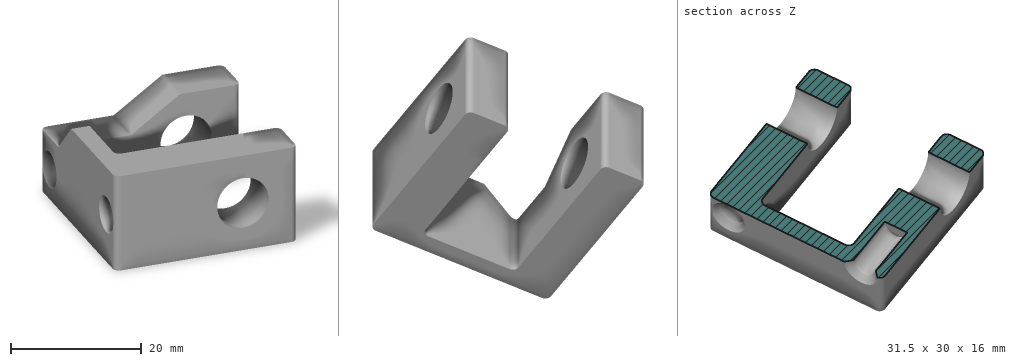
import cadquery as cq

length = 31.5
width = 30.0
height = 16.0

leg_thickness = 7.5
web_thickness = 3.0
corner_radius = 1.0

step_depth = 5.5
step_height = height - step_depth
leg_ramp_start = 12.0
leg_ramp_end = 20.0

bore_diameter = 8.4
bore_y = 21.0
bore_z = height / 2

screw_diameter = 4.0
countersink_diameter = 6.0
countersink_angle = 90
screw_depth = 10.02
left_screw_z = 5.0
right_screw_z = height / 2


def bracket_body():
    """U-shaped block with rounded outer and inner vertical corners."""
    block = cq.Workplane("XY").box(length, width, height, centered=False)
    opening = (
        cq.Workplane("XY")
        .box(length - 2 * leg_thickness, width - web_thickness, height, centered=False)
        .translate((leg_thickness, web_thickness, 0))
    )
    return block.cut(opening).edges("|Z").fillet(corner_radius)


def leg_step():
    """Material above the left leg's step, ending in a ramp towards the back."""
    return (
        cq.Workplane("YZ")
        .polyline([
            (0, step_height),
            (leg_ramp_start, step_height),
            (leg_ramp_end, height),
            (0, height),
        ])
        .close()
        .extrude(leg_thickness)
    )


def web_ramp():
    """Material above the 45 degree ramp in the web beside the left leg."""
    reach = web_thickness + corner_radius
    return (
        cq.Workplane("XZ")
        .polyline([
            (leg_thickness, step_height),
            (leg_thickness + step_depth, height),
            (leg_thickness, height),
        ])
        .close()
        .extrude(-reach)
    )


def cross_bore():
    """Cylinder through both legs along X."""
    return cq.Workplane("YZ").center(bore_y, bore_z).circle(bore_diameter / 2).extrude(length)


def drill_screw_hole(body, x, z):
    """Drill one countersunk hole into the front face."""
    return (
        body.copyWorkplane(cq.Workplane("XZ"))
        .center(x, z)
        .cskHole(screw_diameter, countersink_diameter, countersink_angle, screw_depth)
    )


result = bracket_body().cut(leg_step()).cut(web_ramp()).cut(cross_bore())
for screw_x, screw_z in (
    (leg_thickness / 2, left_screw_z),
    (length - leg_thickness / 2, right_screw_z),
):
    result = drill_screw_hole(result, screw_x, screw_z)